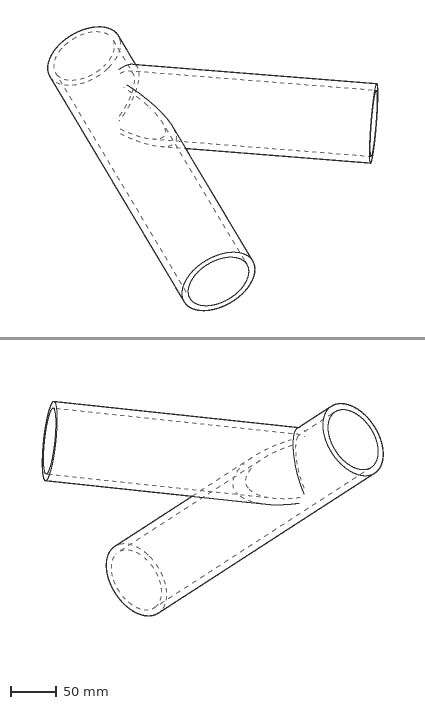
import cadquery as cq
import math

run_length = 368.3
outer_diameter = 88.8
bore_diameter = 73.5
branch_angle = 60.0
branch_offset = 76.2
width = 319.7

outer_radius = outer_diameter / 2
slant = math.radians(branch_angle)

branch_reach = width - outer_radius - outer_radius * math.cos(slant)
branch_length = branch_reach / math.sin(slant)

run_plane = cq.Plane(origin=(-branch_offset, 0, 0), xDir=(0, 1, 0), normal=(1, 0, 0))
branch_plane = cq.Plane(
    origin=(0, 0, 0),
    xDir=(0, 0, 1),
    normal=(math.cos(slant), math.sin(slant), 0),
)


def run_and_branch(diameter):
    """Solid run and branch cylinders of one diameter, joined together."""
    run = cq.Workplane(run_plane).circle(diameter / 2).extrude(run_length)
    branch = cq.Workplane(branch_plane).circle(diameter / 2).extrude(branch_length)
    return run.union(branch)


result = run_and_branch(outer_diameter).cut(run_and_branch(bore_diameter))